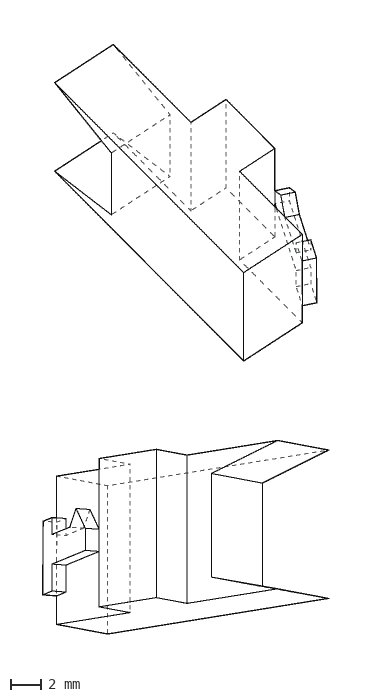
import cadquery as cq
import math

LENGTH = 20.0
HEIGHT = 10.0
BODY_DEPTH = 5.0
BLOCK_DEPTH = 3.0
BLOCK_START = 8.2
BLOCK_END = 13.37
NOTCH_DEPTH = 6.0
PRONG_ROOT = 1.51

PLATE_THICKNESS = 1.0
TIP_BOTTOM = 3.74
TIP_TOP = 5.22
SHOULDER_TOP = 6.82
SHOULDER_RUN = 1.57
WAIST_RUN = 2.65
WAIST_TOP = 5.74
STEP_RUN = 5.65
END_TOP = 6.88
END_BOTTOM = 1.92
END_SLANT = 0.08


def make_housing():
    profile = [
        (0, 0),
        (LENGTH, 0),
        (LENGTH, HEIGHT),
        (0, HEIGHT),
        (NOTCH_DEPTH, HEIGHT - PRONG_ROOT),
        (NOTCH_DEPTH, PRONG_ROOT),
    ]
    body = cq.Workplane("XZ").polyline(profile).close().extrude(-BODY_DEPTH)
    block = cq.Workplane("XY").box(BLOCK_END - BLOCK_START, BLOCK_DEPTH, HEIGHT, centered=False)
    return body.union(block.translate((BLOCK_START, BODY_DEPTH, 0)))


def make_plate():
    run = LENGTH - BLOCK_END
    plate_length = math.hypot(run, BLOCK_DEPTH)
    outline = [
        (0, TIP_BOTTOM),
        (0, TIP_TOP),
        (SHOULDER_RUN, SHOULDER_TOP),
        (WAIST_RUN, WAIST_TOP),
        (STEP_RUN, WAIST_TOP),
        (STEP_RUN, END_TOP),
        (plate_length - END_SLANT, END_TOP),
        (plate_length, END_BOTTOM),
        (STEP_RUN, END_BOTTOM),
        (STEP_RUN, TIP_BOTTOM),
    ]
    slope_plane = cq.Plane(
        origin=(BLOCK_END, BODY_DEPTH + BLOCK_DEPTH, 0),
        xDir=(run, -BLOCK_DEPTH, 0),
        normal=(-BLOCK_DEPTH, -run, 0),
    )
    return cq.Workplane(slope_plane).polyline(outline).close().extrude(-PLATE_THICKNESS)


housing = make_housing()
plate = make_plate()
result = cq.Compound.makeCompound([housing.val(), plate.val()])